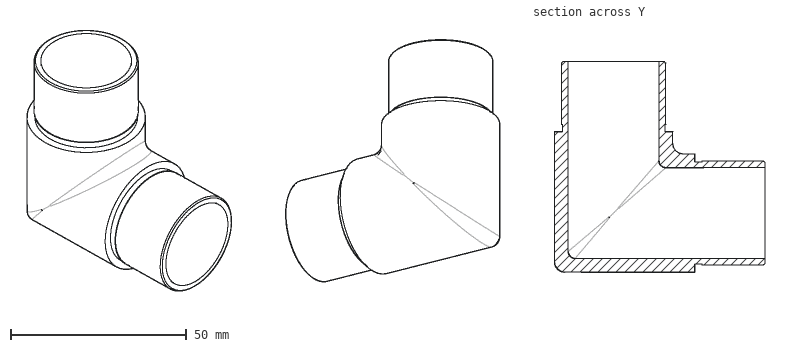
import cadquery as cq

reach = 60.0
body_diameter = 33.7
body_length = 40.0
neck_diameter = 29.3
neck_length = 2.0
spigot_diameter = 29.7
bore_diameter = 25.8
end_chamfer = 0.4
body_blend = 3.0
bore_blend = 2.0
blend_extent = 0.995

body_radius = body_diameter / 2
axis_offset = body_radius
shoulder = body_length - axis_offset
spigot_start = shoulder + neck_length
tip = reach - axis_offset


def vertical_cylinder(diameter, bottom, top):
    return cq.Workplane("XY", origin=(0, 0, bottom)).circle(diameter / 2).extrude(top - bottom)


def to_horizontal(leg):
    """Turn a vertical leg half a turn about the mitre line, exchanging X and Z."""
    return leg.rotate((0, 0, 0), (1, 0, 1), 180)


def mitred_elbow(diameter, length):
    """Two equal cylinders meeting at a 45 degree mitre."""
    above_mitre = (
        cq.Workplane("XZ")
        .polyline([(-length, -length), (length, length), (-length, length)])
        .close()
        .extrude(length, both=True)
    )
    leg = vertical_cylinder(diameter, -length, length).intersect(above_mitre)
    return leg.union(to_horizontal(leg))


def rounded_elbow(diameter, length, blend):
    """A mitred elbow whose mitre edges are filleted, up to where the two cylinders become tangent."""
    elbow = mitred_elbow(diameter, length)
    core_width = diameter * blend_extent
    slab_size = 4 * length
    core_slab = cq.Workplane("XY").box(slab_size, core_width, slab_size)
    core = elbow.intersect(core_slab).edges("%ELLIPSE").fillet(blend)
    return core.union(elbow.cut(core_slab))


def spigot():
    """A plain sleeve with a chamfered end, on a slightly thinner neck."""
    neck = vertical_cylinder(neck_diameter, shoulder, spigot_start)
    sleeve = vertical_cylinder(spigot_diameter, spigot_start, tip)
    sleeve = sleeve.faces(">Z").edges().chamfer(end_chamfer)
    return neck.union(sleeve)


body = rounded_elbow(body_diameter, shoulder, body_blend)
bore = rounded_elbow(bore_diameter, tip, bore_blend)
outside = body.union(spigot()).union(to_horizontal(spigot()))
result = outside.cut(bore).translate((axis_offset, 0, axis_offset))